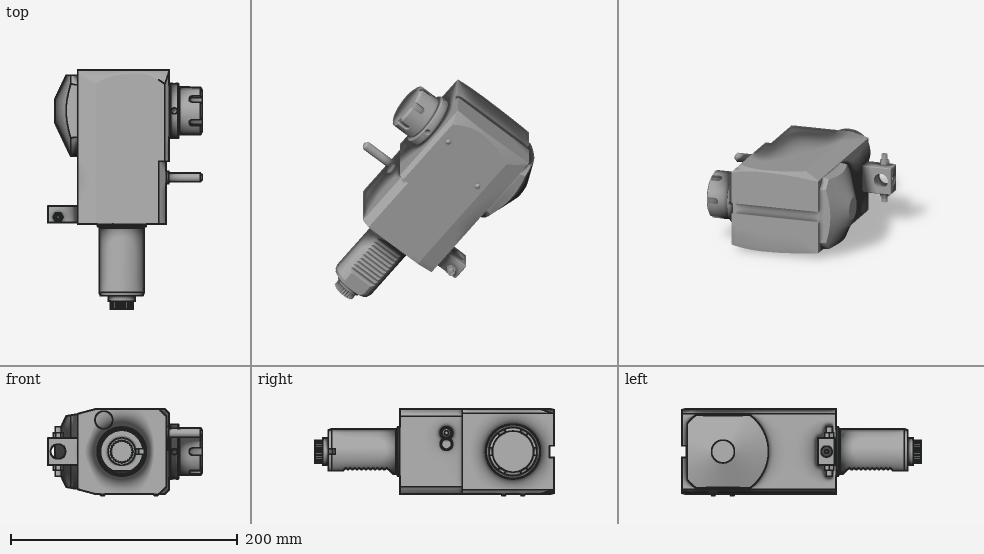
import cadquery as cq
import math


HOUSING_LENGTH = 136.0
HALF_HEIGHT = 37.5
HALF_WIDTH = 39.0
SIDE_HALF_HEIGHT = 33.3
SIDE_ANGLE = 15
FOOT_LENGTH = 55.3
FOOT_CHAMFER = 6.3
HEAD_RIGHT = 41.8
HEAD_CHAMFER = 3.8
REAR_SLOT_HALF_WIDTH = 5.0
REAR_SLOT_DEPTH = 4.0

CROWN_PEAK_X = 12.9
CROWN_PEAK_Z = 36.7
CROWN_DEPTH = 12.7
CROWN_RADIUS_RIGHT = 126.5
CROWN_RADIUS_REAR = 369.2
CROWN_RADIUS_FRONT = 263.8
CROWN_REACH = 54.9

SPINDLE_Y = 99.8

COVER_RADIUS = 40.0
COVER_RIM_X = -45.0
COVER_TIP_X = -59.0
COVER_TIP_RADIUS = 10.1
COVER_BEND_X = -41.0
COVER_FLAT_ANGLE = 10
COVER_REAR_Y = 131.5
COVER_CORNER = 7.4

SHANK_RADIUS = 20.0
SHANK_LENGTH = 63.3
SHANK_END_CHAMFER = 1.3
SHANK_END_TAPER = 3.4
COLLAR_RADIUS = 21.7
COLLAR_LENGTH = 2.3
COLLAR_ROUND = 0.6
SEAL_GROOVE_RADIUS = 19.5
SEAL_GROOVE_END = 3.5
BOSS_RADIUS = 12.0
BOSS_LENGTH = 4.6
SPLINE_LENGTH = 7.0
SPLINE_TIP_RADIUS = 10.1
SPLINE_ROOT_RADIUS = 9.0
SPLINE_COUNT = 24

FLAT_Z = -17.0
TOOTH_CREST_Z = -16.0
TOOTH_ROOT_Z = -14.5
TOOTH_PITCH = 4.0
TOOTH_COUNT = 9
FIRST_CREST_Y = -13.7
TOOTH_RUN_OUT_Y = -5.7

KEY_HALF_WIDTH = 2.5
KEY_INNER_X = 11.5
KEY_STEP_X = 15.0
KEY_DEPTH = 6.3
KEY_STEP_DEPTH = 4.2

PLUG_X = -15.8
PLUG_Z = 27.9
PLUG_RADIUS = 7.8
PLUG_DEPTH = 0.6

RING_RADIUS = 24.3
RING_START = 42.5
RING_END = 50.2
RING_CHAMFER = 0.6
RING_HOLE_RADIUS = 2.7
RING_HOLE_DEPTH = 3.2
RING_HOLE_COUNT = 4
RING_SEAT_RADIUS = 23.0
NUT_NECK_RADIUS = 19.6
NUT_RADIUS = 21.0
NUT_START = 51.3
NUT_TAPER_START = 69.5
NUT_END_RADIUS = 18.1
RIGHT_END = 71.1
NUT_SLOT_START = 59.5
NUT_SLOT_HALF_WIDTH = 3.2
NUT_SLOT_DEPTH = 3.2
NUT_SLOT_COUNT = 6

PIN_Y = 41.1
PIN_Z = 16.5
PIN_RADIUS = 4.0
PIN_TIP_CHAMFER = 2.1
PIN_FLANGE_RADIUS = 5.5
PIN_FLANGE_LENGTH = 2.3

BUTTON_Z = 6.5
BUTTON_RADIUS = 5.5
BUTTON_HEIGHT = 2.7
BUTTON_CHAMFER = 1.0

BLOCK_LEFT = -65.5
BLOCK_FRONT = 1.0
BLOCK_REAR = 16.2
BLOCK_HALF_HEIGHT = 12.2
BLOCK_CHAMFER = 0.6
BORE_X = -56.1
BORE_RADIUS = 6.5
PORT_Y = 8.5
PORT_RADIUS = 4.9
PORT_END_X = -43.3
DUCT_RADIUS = 1.7
SCREW_Y = 6.1
SCREW_RADIUS = 2.7
SCREW_END_Z = 22.0
HEX_CORNERS = 8.9
HEX_HEIGHT = 4.2
SOCKET_CORNERS = 3.2
SOCKET_DEPTH = 3.2

STUD_PLACES = [(-16.9, 91.5), (30.2, 108.5)]
STUD_RADIUS = 2.3
STUD_TIP_RADIUS = 1.0
STUD_HEIGHT = 1.5

OVERLAP = 2.1


def box(x0, x1, y0, y1, z0, z1):
    return cq.Workplane("XY").box(x1 - x0, y1 - y0, z1 - z0, centered=False).translate((x0, y0, z0))


def rod_along_x(radius, x0, x1, y, z):
    return cq.Workplane("YZ", origin=(x0, y, z)).circle(radius).extrude(x1 - x0)


def rod_along_y(radius, y0, y1, x, z):
    return cq.Workplane("XZ", origin=(x, y0, z)).circle(radius).extrude(y0 - y1)


def housing_prism(right, chamfer, y0, y1):
    """Length of housing with sloped left flanks and chamfered right edges."""
    slope_run = (HALF_HEIGHT - SIDE_HALF_HEIGHT) / math.tan(math.radians(SIDE_ANGLE))
    upper = [
        (-HALF_WIDTH, SIDE_HALF_HEIGHT),
        (-HALF_WIDTH + slope_run, HALF_HEIGHT),
        (right - chamfer, HALF_HEIGHT),
        (right, HALF_HEIGHT - chamfer),
    ]
    lower = [(x, -z) for x, z in reversed(upper)]
    return cq.Workplane("XZ", origin=(0, y0, 0)).polyline(upper + lower).close().extrude(y0 - y1)


def crown_point(peak_z, radius, offset):
    """Point on an arc whose top lies at the crown peak."""
    return (CROWN_PEAK_X + offset, peak_z - radius + math.sqrt(radius**2 - offset**2))


def crown_section(workplane, peak_z, radius_left):
    """Section with crowned top and bottom edges."""
    left_end = crown_point(peak_z, radius_left, -CROWN_REACH)
    left_mid = crown_point(peak_z, radius_left, -CROWN_REACH / 2)
    right_mid = crown_point(peak_z, CROWN_RADIUS_RIGHT, CROWN_REACH / 2)
    right_end = crown_point(peak_z, CROWN_RADIUS_RIGHT, CROWN_REACH)
    return (
        workplane.moveTo(*left_end)
        .threePointArc(left_mid, (CROWN_PEAK_X, peak_z))
        .threePointArc(right_mid, right_end)
        .lineTo(right_end[0], -right_end[1])
        .threePointArc((right_mid[0], -right_mid[1]), (CROWN_PEAK_X, -peak_z))
        .threePointArc((left_mid[0], -left_mid[1]), (left_end[0], -left_end[1]))
        .close()
    )


def crown_envelope():
    """Space between the rear bevels, widening forwards at the bevel angle."""
    rise = CROWN_DEPTH * math.tan(math.radians(SIDE_ANGLE))
    rear_plane = cq.Workplane("XZ", origin=(0, HOUSING_LENGTH, 0))
    rear = crown_section(rear_plane, CROWN_PEAK_Z, CROWN_RADIUS_REAR)
    sections = crown_section(
        rear.workplane(offset=CROWN_DEPTH), CROWN_PEAK_Z + rise, CROWN_RADIUS_FRONT
    )
    return sections.loft(ruled=True)


def housing():
    crown_start = HOUSING_LENGTH - CROWN_DEPTH
    foot = housing_prism(HALF_WIDTH, FOOT_CHAMFER, 0, FOOT_LENGTH)
    head = housing_prism(HEAD_RIGHT, HEAD_CHAMFER, FOOT_LENGTH, crown_start)
    rear = housing_prism(HEAD_RIGHT, HEAD_CHAMFER, crown_start, HOUSING_LENGTH)
    body = foot.union(head).union(rear.intersect(crown_envelope()))
    rear_slot = box(
        -HALF_WIDTH, HEAD_RIGHT,
        HOUSING_LENGTH - REAR_SLOT_DEPTH, HOUSING_LENGTH,
        -REAR_SLOT_HALF_WIDTH, REAR_SLOT_HALF_WIDTH,
    )
    plug_recess = rod_along_y(PLUG_RADIUS, 0, PLUG_DEPTH, PLUG_X, PLUG_Z)
    return body.cut(rear_slot).cut(plug_recess)


def cover():
    """Cone on a short rim, trimmed at the rear and by sloped flats above and below."""
    profile = [
        (-HALF_WIDTH + OVERLAP, 0),
        (-HALF_WIDTH + OVERLAP, COVER_RADIUS),
        (COVER_RIM_X, COVER_RADIUS),
        (COVER_TIP_X, COVER_TIP_RADIUS),
        (COVER_TIP_X, 0),
    ]
    cone = (
        cq.Workplane("XY").polyline(profile).close()
        .revolve(360, (0, 0, 0), (1, 0, 0))
        .translate((0, SPINDLE_Y, 0))
    )
    bend_z = SIDE_HALF_HEIGHT - (-HALF_WIDTH - COVER_BEND_X) * math.tan(math.radians(SIDE_ANGLE))
    tip_z = bend_z - (COVER_BEND_X - COVER_TIP_X) * math.tan(math.radians(COVER_FLAT_ANGLE))
    upper = [
        (COVER_TIP_X, tip_z),
        (COVER_BEND_X, bend_z),
        (-HALF_WIDTH, SIDE_HALF_HEIGHT),
        (-HALF_WIDTH + OVERLAP, SIDE_HALF_HEIGHT),
    ]
    lower = [(x, -z) for x, z in reversed(upper)]
    front_y = SPINDLE_Y - COVER_RADIUS
    flats = (
        cq.Workplane("XZ", origin=(0, front_y, 0)).polyline(upper + lower).close()
        .extrude(front_y - COVER_REAR_Y)
    )
    trim = (
        box(COVER_TIP_X, -HALF_WIDTH + OVERLAP, front_y, COVER_REAR_Y, -bend_z, bend_z)
        .edges("|X and >Y").chamfer(COVER_CORNER)
    )
    return cone.intersect(flats).intersect(trim)


def shank_body():
    end = -SHANK_LENGTH
    profile = [
        (0, OVERLAP),
        (COLLAR_RADIUS, OVERLAP),
        (COLLAR_RADIUS, -COLLAR_LENGTH + COLLAR_ROUND),
        (COLLAR_RADIUS - COLLAR_ROUND, -COLLAR_LENGTH),
        (SEAL_GROOVE_RADIUS, -COLLAR_LENGTH),
        (SEAL_GROOVE_RADIUS, -SEAL_GROOVE_END),
        (SHANK_RADIUS, -SEAL_GROOVE_END),
        (SHANK_RADIUS, end + SHANK_END_TAPER),
        (SHANK_RADIUS - SHANK_END_CHAMFER, end),
        (BOSS_RADIUS, end),
        (BOSS_RADIUS, end - BOSS_LENGTH),
        (0, end - BOSS_LENGTH),
    ]
    return cq.Workplane("XY").polyline(profile).close().revolve(360, (0, 0, 0), (0, 1, 0))


def tooth_cutter():
    """Material removed below the shank: run-out, toothed stretch and end flat."""
    below = -COLLAR_RADIUS - OVERLAP
    past_end = -SHANK_LENGTH - OVERLAP
    start_drop = SHANK_RADIUS + TOOTH_CREST_Z
    outline = [
        (TOOTH_RUN_OUT_Y, below),
        (TOOTH_RUN_OUT_Y, -SHANK_RADIUS),
        (TOOTH_RUN_OUT_Y - start_drop, TOOTH_CREST_Z),
    ]
    half_pitch = TOOTH_PITCH / 2
    for tooth in range(TOOTH_COUNT):
        crest_y = FIRST_CREST_Y - tooth * TOOTH_PITCH
        outline.append((crest_y + half_pitch, TOOTH_ROOT_Z))
        outline.append((crest_y, TOOTH_CREST_Z))
    last_root_y = FIRST_CREST_Y - (TOOTH_COUNT - 0.5) * TOOTH_PITCH
    outline += [
        (last_root_y, TOOTH_ROOT_Z),
        (last_root_y - (TOOTH_ROOT_Z - FLAT_Z), FLAT_Z),
        (past_end, FLAT_Z),
        (past_end, below),
    ]
    return cq.Workplane("YZ").polyline(outline).close().extrude(SHANK_RADIUS, both=True)


def key_slot():
    end = -SHANK_LENGTH
    inner = box(KEY_INNER_X, KEY_STEP_X, end, end + KEY_STEP_DEPTH, -KEY_HALF_WIDTH, KEY_HALF_WIDTH)
    outer = box(KEY_STEP_X, SHANK_RADIUS, end, end + KEY_DEPTH, -KEY_HALF_WIDTH, KEY_HALF_WIDTH)
    return inner.union(outer)


def spline():
    points = []
    for step in range(2 * SPLINE_COUNT):
        radius = SPLINE_ROOT_RADIUS if step % 2 else SPLINE_TIP_RADIUS
        angle = math.pi * step / SPLINE_COUNT
        points.append((radius * math.cos(angle), radius * math.sin(angle)))
    start = -SHANK_LENGTH - BOSS_LENGTH + OVERLAP
    return (
        cq.Workplane("XZ", origin=(0, start, 0)).polyline(points).close()
        .extrude(SPLINE_LENGTH + OVERLAP)
    )


def shank():
    return shank_body().cut(tooth_cutter()).cut(key_slot()).union(spline())


def around_spindle(tool, count):
    """Copies of a tool pointing to -Y, evenly spaced about the spindle axis."""
    copies = cq.Workplane("XY")
    for index in range(count):
        turned = tool.rotate((0, SPINDLE_Y, 0), (1, SPINDLE_Y, 0), index * 360 / count)
        copies = copies.add(turned)
    return copies.combine()


def collet_nut():
    profile = [
        (HEAD_RIGHT - OVERLAP, 0),
        (HEAD_RIGHT - OVERLAP, RING_SEAT_RADIUS),
        (RING_START, RING_SEAT_RADIUS),
        (RING_START, RING_RADIUS - RING_CHAMFER),
        (RING_START + RING_CHAMFER, RING_RADIUS),
        (RING_END - RING_CHAMFER, RING_RADIUS),
        (RING_END, RING_RADIUS - RING_CHAMFER),
        (RING_END, NUT_NECK_RADIUS),
        (NUT_START, NUT_NECK_RADIUS),
        (NUT_START, NUT_RADIUS),
        (NUT_TAPER_START, NUT_RADIUS),
        (RIGHT_END, NUT_END_RADIUS),
        (RIGHT_END, 0),
    ]
    body = (
        cq.Workplane("XY").polyline(profile).close()
        .revolve(360, (0, 0, 0), (1, 0, 0))
        .translate((0, SPINDLE_Y, 0))
    )
    ring_front = SPINDLE_Y - RING_RADIUS
    ring_middle_x = (RING_START + RING_END) / 2
    hole_outline = [(0, 0), (RING_HOLE_RADIUS, 0), (0, RING_HOLE_DEPTH)]
    hole = (
        cq.Workplane("XY").polyline(hole_outline).close()
        .revolve(360, (0, 0, 0), (0, 1, 0))
        .translate((ring_middle_x, ring_front, 0))
    )
    nut_front = SPINDLE_Y - NUT_RADIUS
    slot_floor = nut_front + NUT_SLOT_DEPTH
    slot_end_x = NUT_SLOT_START + NUT_SLOT_HALF_WIDTH
    slot = rod_along_y(NUT_SLOT_HALF_WIDTH, nut_front, slot_floor, slot_end_x, 0).union(
        box(slot_end_x, RIGHT_END, nut_front, slot_floor, -NUT_SLOT_HALF_WIDTH, NUT_SLOT_HALF_WIDTH)
    )
    return (
        body.cut(around_spindle(hole, RING_HOLE_COUNT))
        .cut(around_spindle(slot, NUT_SLOT_COUNT))
    )


def locating_pin():
    start = HALF_WIDTH - OVERLAP
    pin = rod_along_x(PIN_RADIUS, start, RIGHT_END, PIN_Y, PIN_Z).faces(">X").chamfer(PIN_TIP_CHAMFER)
    flange = rod_along_x(PIN_FLANGE_RADIUS, start, HALF_WIDTH + PIN_FLANGE_LENGTH, PIN_Y, PIN_Z)
    return pin.union(flange)


def button():
    end = HALF_WIDTH + BUTTON_HEIGHT
    body = rod_along_x(BUTTON_RADIUS, HALF_WIDTH - OVERLAP, end, PIN_Y, BUTTON_Z)
    return body.faces(">X").chamfer(BUTTON_CHAMFER)


def block_screw():
    """Screw with hexagon nut standing on top of the coolant block."""
    base = BLOCK_HALF_HEIGHT - OVERLAP
    hexagon = (
        cq.Workplane("XY", origin=(BORE_X, SCREW_Y, base))
        .polygon(6, HEX_CORNERS).extrude(HEX_HEIGHT + OVERLAP)
    )
    stem = (
        cq.Workplane("XY", origin=(BORE_X, SCREW_Y, base))
        .circle(SCREW_RADIUS).extrude(SCREW_END_Z - base)
    )
    socket = (
        cq.Workplane("XY", origin=(BORE_X, SCREW_Y, SCREW_END_Z))
        .polygon(6, SOCKET_CORNERS).extrude(-SOCKET_DEPTH)
    )
    return hexagon.union(stem).cut(socket)


def coolant_block():
    block = box(
        BLOCK_LEFT, -HALF_WIDTH + OVERLAP,
        BLOCK_FRONT, BLOCK_REAR,
        -BLOCK_HALF_HEIGHT, BLOCK_HALF_HEIGHT,
    )
    block = block.faces("<X or <Y or >Y").edges("not >X").chamfer(BLOCK_CHAMFER)
    screw = block_screw()
    bore = rod_along_y(BORE_RADIUS, BLOCK_FRONT, BLOCK_REAR, BORE_X, 0)
    port = rod_along_x(PORT_RADIUS, BLOCK_LEFT, PORT_END_X, PORT_Y, 0)
    duct = rod_along_x(DUCT_RADIUS, PORT_END_X, -HALF_WIDTH, PORT_Y, 0)
    return block.union(screw).union(screw.mirror("XY")).cut(bore).cut(port).cut(duct)


def stud(x, y):
    return (
        cq.Workplane("XY", origin=(x, y, -HALF_HEIGHT)).circle(STUD_RADIUS)
        .workplane(offset=-STUD_HEIGHT).circle(STUD_TIP_RADIUS).loft()
    )


result = housing().union(cover()).union(shank()).union(collet_nut())
result = result.union(locating_pin()).union(button()).union(coolant_block())
for stud_x, stud_y in STUD_PLACES:
    result = result.union(stud(stud_x, stud_y))